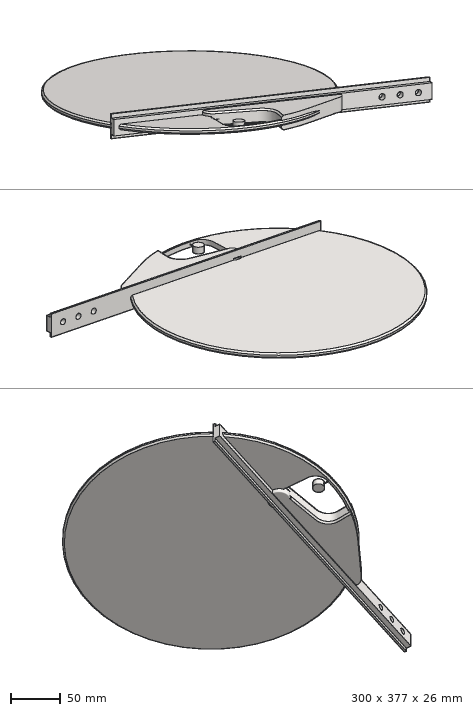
import cadquery as cq
import math

disc_radius = 150.0
disc_thickness = 6.0
edge_chamfer = 2.0

bar_start = -123.5
bar_length = 350.5
plate_left = 84.5
plate_thickness = 2.3
plate_height = 26.0
backing_thickness = 5.5
backing_height = 17.5
plate_right = plate_left + plate_thickness
bar_right = plate_right + backing_thickness

hole_diameter = 6.5
hole_count = 3
hole_pitch = 20.0
hole_end_distance = 15.0

rim_width = 4.0
opening_left = 102.0
opening_bottom = -21.5
opening_corner_radius = 14.5
opening_radius = disc_radius - rim_width

guard_thickness = 15.5
guard_radius = 148.5
guard_top = 126.5
guard_corner_radius = 11.3
tangent_angle = math.radians(29.5)
lip_chamfer = 2.0
lip_start = (103.5, -17.0)
lip_bend_start = (110.0, 27.5)
lip_bend_middle = (115.0, 37.0)
lip_bend_end = (127.0, 40.7)
lip_end_y = 39.0
lip_end = (math.sqrt(guard_radius**2 - lip_end_y**2), lip_end_y)

guard_overlap = 2.3
opening_top = lip_bend_end[1] + guard_overlap

barrel_x = bar_right
barrel_y = -14.7
hook_radius = math.hypot(lip_start[0] - barrel_x, lip_start[1] - barrel_y)
barrel_radius = 12.0
barrel_fillet = 1.0
barrel_cap_radius = 9.5
barrel_cap_top = 5.0

pin_x = 132.5
pin_y = -3.5
pin_diameter = 12.0
pin_bottom = -3.0
pin_height = 7.5
web_thickness = 0.8


def box(x_start, x_end, y_start, y_end, height):
    """Box centred on Z = 0."""
    return (
        cq.Workplane("XY")
        .box(x_end - x_start, y_end - y_start, height, centered=(False, False, True))
        .translate((x_start, y_start, 0))
    )


def cylinder(x, y, radius, z_bottom, z_top):
    return (
        cq.Workplane("XY", origin=(x, y, z_bottom))
        .circle(radius)
        .extrude(z_top - z_bottom)
    )


def centred_disc(radius, height):
    return cylinder(0, 0, radius, -height / 2, height / 2)


def make_disc():
    return centred_disc(disc_radius, disc_thickness).edges().chamfer(edge_chamfer)


def make_guard():
    tangent_x = guard_radius * math.cos(tangent_angle)
    tangent_y = guard_radius * math.sin(tangent_angle)
    corner_x = tangent_x - (guard_top - tangent_y) * math.tan(tangent_angle)
    rim_angle = (tangent_angle + math.atan2(lip_end[1], lip_end[0])) / 2
    rim_middle = (guard_radius * math.cos(rim_angle), guard_radius * math.sin(rim_angle))
    hook_angle = math.radians(-50)
    hook_middle = (
        barrel_x + hook_radius * math.cos(hook_angle),
        barrel_y + hook_radius * math.sin(hook_angle),
    )
    guard = (
        cq.Workplane("XY", origin=(0, 0, -guard_thickness / 2))
        .moveTo(bar_right, guard_top)
        .lineTo(corner_x, guard_top)
        .lineTo(tangent_x, tangent_y)
        .threePointArc(rim_middle, lip_end)
        .lineTo(*lip_bend_end)
        .threePointArc(lip_bend_middle, lip_bend_start)
        .lineTo(*lip_start)
        .threePointArc(hook_middle, (barrel_x, barrel_y - hook_radius))
        .close()
        .extrude(guard_thickness)
    )
    corner = cq.selectors.NearestToPointSelector((corner_x, guard_top, 0))
    guard = guard.edges(corner).fillet(guard_corner_radius)
    lip_edges = cq.selectors.BoxSelector(
        (bar_right + lip_chamfer, barrel_y - hook_radius, -guard_thickness),
        (lip_end[0] - lip_chamfer, lip_bend_end[1] + lip_chamfer, guard_thickness),
    )
    return guard.edges("#Z").edges(lip_edges).chamfer(lip_chamfer)


def make_opening():
    """Cutter reaching under the guard, with a rounded lower corner beside the rim."""
    right_bottom = math.sqrt(opening_radius**2 - opening_bottom**2)
    outline = (
        cq.Workplane("XY", origin=(0, 0, -guard_thickness))
        .moveTo(opening_left, opening_bottom)
        .lineTo(lip_bend_start[0] - guard_overlap, lip_bend_start[1])
        .lineTo(lip_bend_start[0] - guard_overlap, opening_top)
        .lineTo(disc_radius, opening_top)
        .lineTo(disc_radius, opening_bottom)
        .close()
        .extrude(2 * guard_thickness)
    )
    cutter = outline.intersect(centred_disc(opening_radius, 2 * guard_thickness))
    lower_corner = cq.selectors.NearestToPointSelector((right_bottom, opening_bottom, 0))
    return cutter.edges(lower_corner).fillet(opening_corner_radius)


def make_barrel():
    body = cylinder(barrel_x, barrel_y, barrel_radius, -guard_thickness / 2, 0)
    body = body.faces("<Z").edges().fillet(barrel_fillet)
    cap = cylinder(barrel_x, barrel_y, barrel_cap_radius, 0, barrel_cap_top)
    return body.union(cap)


def make_bar():
    bar_end = bar_start + bar_length
    plate = box(plate_left, plate_right, bar_start, bar_end, plate_height)
    backing = box(plate_right, bar_right, bar_start, bar_end, backing_height)
    return plate.union(backing)


def make_mounting_holes():
    first_hole_y = bar_start + bar_length - hole_end_distance
    centres = [(first_hole_y - i * hole_pitch, 0) for i in range(hole_count)]
    return (
        cq.Workplane("YZ", origin=(plate_left, 0, 0))
        .pushPoints(centres)
        .circle(hole_diameter / 2)
        .extrude(bar_right - plate_left)
    )


def make_pin():
    pin = cylinder(pin_x, pin_y, pin_diameter / 2, pin_bottom, pin_bottom + pin_height)
    web_end = disc_radius - rim_width / 2
    half_web = web_thickness / 2
    web = box(pin_x, web_end, pin_y - half_web, pin_y + half_web, web_thickness)
    return pin.union(web)


result = (
    make_disc()
    .cut(make_opening())
    .union(make_guard())
    .union(make_barrel())
    .union(make_bar())
    .union(make_pin())
    .cut(make_mounting_holes())
)